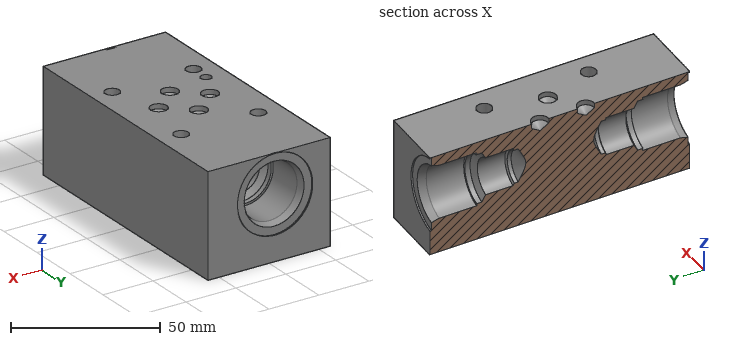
import cadquery as cq
import math

WIDTH = 49.0
LENGTH = 99.8
HEIGHT = 40.1

PATTERN_X = 0.1
PATTERN_Y = -0.1
BOLT_DIAMETER = 5.6
BOLT_HALF_LENGTH = 20.3
BACK_BOLT_HALF_WIDTH = 15.5
FRONT_BOLT_HALF_WIDTH = 16.3
PORT_DIAMETER = 6.4
PORT_DEPTH = 1.9
PORT_CENTRE_Y = -1.2
PORT_HALF_WIDTH = 10.3
PORT_HALF_LENGTH = 8.8
PIN_DIAMETER = 4.0
PIN_DEPTH = 4.0
PIN_Y = -12.7
DRILL_HALF_ANGLE = 59.0

CAVITY_X = -2.4
CAVITY_BELOW_TOP = 15.3
SPOTFACE_DIAMETER = 30.1
SPOTFACE_DEPTH = 0.6
MOUTH_DIAMETER = 24.0
MOUTH_LENGTH = 3.0
THREAD_DIAMETER = 22.3
THREAD_END = 18.0
SEAT_DIAMETER = 20.7
SEAT_END = 20.0
NOSE_DIAMETER = 15.9
NOSE_END = 31.9
PILOT_DIAMETER = 14.3
PILOT_END = 33.9


def cone_length(large_diameter, small_diameter, half_angle):
    """Axial length of a cone between two diameters."""
    return (large_diameter - small_diameter) / 2 / math.tan(math.radians(half_angle))


def blind_hole(x, y, diameter, depth):
    """Drilled hole from the top face with a conical bottom, placed from the pattern centre.

    The depth runs to the end of the full diameter.
    """
    radius = diameter / 2
    tip_depth = depth + cone_length(diameter, 0, DRILL_HALF_ANGLE)
    profile = [(0, 0), (radius, 0), (radius, -depth), (0, -tip_depth)]
    hole = cq.Workplane("XZ").polyline(profile).close().revolve(360, (0, 0), (0, 1))
    return hole.translate((PATTERN_X + x, PATTERN_Y + y, HEIGHT))


def front_cavity():
    """Stepped cavity running in +Y from the front face."""
    mouth_end = SPOTFACE_DEPTH + MOUTH_LENGTH
    seat_cone_end = SEAT_END + cone_length(SEAT_DIAMETER, NOSE_DIAMETER, DRILL_HALF_ANGLE)
    nose_cone_end = NOSE_END + cone_length(NOSE_DIAMETER, PILOT_DIAMETER, DRILL_HALF_ANGLE)
    tip = PILOT_END + cone_length(PILOT_DIAMETER, 0, DRILL_HALF_ANGLE)
    profile = [
        (0, 0),
        (SPOTFACE_DIAMETER / 2, 0),
        (SPOTFACE_DIAMETER / 2, SPOTFACE_DEPTH),
        (MOUTH_DIAMETER / 2, SPOTFACE_DEPTH),
        (THREAD_DIAMETER / 2, mouth_end),
        (THREAD_DIAMETER / 2, THREAD_END),
        (SEAT_DIAMETER / 2, THREAD_END),
        (SEAT_DIAMETER / 2, SEAT_END),
        (NOSE_DIAMETER / 2, seat_cone_end),
        (NOSE_DIAMETER / 2, NOSE_END),
        (PILOT_DIAMETER / 2, nose_cone_end),
        (PILOT_DIAMETER / 2, PILOT_END),
        (0, tip),
    ]
    cavity = cq.Workplane("XY").polyline(profile).close().revolve(360, (0, 0), (0, 1))
    return cavity.translate((CAVITY_X, -LENGTH / 2, HEIGHT - CAVITY_BELOW_TOP))


result = cq.Workplane("XY").box(WIDTH, LENGTH, HEIGHT, centered=(True, True, False))

for half_width, y in [
    (BACK_BOLT_HALF_WIDTH, BOLT_HALF_LENGTH),
    (FRONT_BOLT_HALF_WIDTH, -BOLT_HALF_LENGTH),
]:
    for x in (-half_width, half_width):
        bolt_hole = cq.Workplane("XY").center(PATTERN_X + x, PATTERN_Y + y).circle(BOLT_DIAMETER / 2).extrude(HEIGHT)
        result = result.cut(bolt_hole)

for across, along in [(1, 0), (-1, 0), (0, 1), (0, -1)]:
    port_x = across * PORT_HALF_WIDTH
    port_y = PORT_CENTRE_Y + along * PORT_HALF_LENGTH
    result = result.cut(blind_hole(port_x, port_y, PORT_DIAMETER, PORT_DEPTH))

result = result.cut(blind_hole(-FRONT_BOLT_HALF_WIDTH, PIN_Y, PIN_DIAMETER, PIN_DEPTH))

cavity = front_cavity()
result = result.cut(cavity)
result = result.cut(cavity.mirror("XZ"))